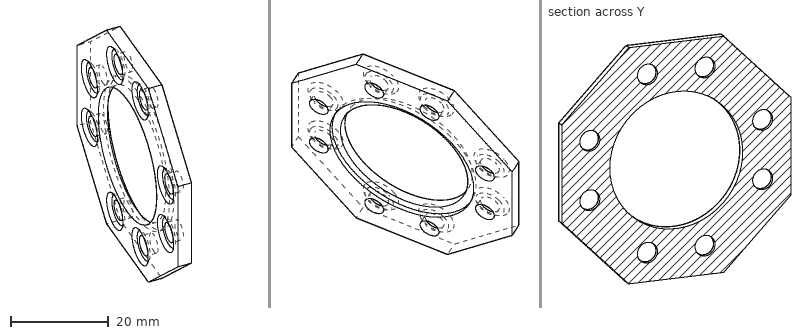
import cadquery as cq
import math

plate_width = 50.6
corner_cut = plate_width / (2 + math.sqrt(2))
plate_thickness = 3.05

bore_diameter = 29.2
recess_diameter = 33
recess_depth = 1.0

grid_pitch = 12.7
near_offset = grid_pitch / 2
far_offset = 3 * grid_pitch / 2

screw_hole_diameter = 4.3
seat_mouth_diameter = 8.1
seat_floor_diameter = 6.5
seat_depth = (seat_mouth_diameter - seat_floor_diameter) / 2

front_y = -plate_thickness / 2
back_y = plate_thickness / 2


def make_plate():
    """Square plate whose corners are cut back to make a regular octagon."""
    square = cq.Workplane("XY").box(plate_width, plate_thickness, plate_width)
    return square.edges("|Y").chamfer(corner_cut)


def screw_positions():
    """X and Z of the eight screw holes, mirrored across both axes."""
    positions = []
    for x_sign in (-1, 1):
        for z_sign in (-1, 1):
            positions.append((x_sign * near_offset, z_sign * far_offset))
            positions.append((x_sign * far_offset, z_sign * near_offset))
    return positions


def make_screw_cutter(x, z):
    """Solid of revolution about the hole axis, from the -Y face to the back face."""
    hole_radius = screw_hole_diameter / 2
    profile = [
        (0, 0),
        (seat_mouth_diameter / 2, 0),
        (seat_floor_diameter / 2, seat_depth),
        (hole_radius, seat_depth),
        (hole_radius, plate_thickness),
        (0, plate_thickness),
    ]
    cutter = cq.Workplane("XY").polyline(profile).close().revolve(360, (0, 0), (0, 1))
    return cutter.translate((x, front_y, z))


def make_bore_cutter():
    """Bore through the whole plate, joined to the recess in the +Y face."""
    bore = cq.Workplane("XZ", origin=(0, front_y, 0)).circle(bore_diameter / 2)
    recess = cq.Workplane("XZ", origin=(0, back_y, 0)).circle(recess_diameter / 2)
    return bore.extrude(-plate_thickness).union(recess.extrude(recess_depth))


result = make_plate().cut(make_bore_cutter())
for x, z in screw_positions():
    result = result.cut(make_screw_cutter(x, z))